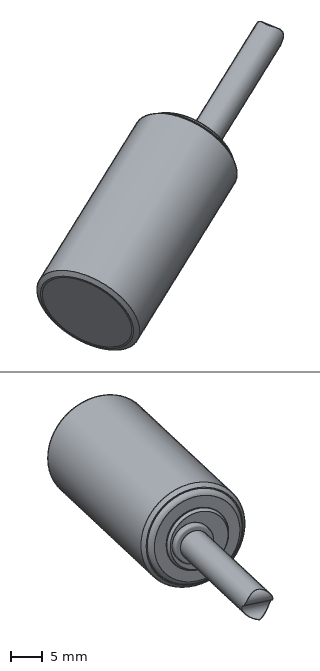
import cadquery as cq

TOTAL_LENGTH = 61.6

HOUSING_RADIUS = 9.0
HOUSING_LENGTH = 35.2
FRONT_BEVEL_LENGTH = 0.45
FRONT_BEVEL_DEPTH = 0.85
REAR_BEVEL = 0.6

FACE_RADIUS = 7.8
FACE_THICKNESS = 1.25

CAP_RADIUS = 8.2
CAP_TOP_RADIUS = 7.4
CAP_HEIGHT = 0.9
CAP_CROWN_RADIUS = 7.95
CAP_CROWN_HEIGHT = 0.55
DISC_RADIUS = 5.35
DISC_HEIGHT = 0.75
DISC_BEVEL_LENGTH = 0.5
DISC_BEVEL_DEPTH = 0.4
COLLAR_RADIUS = 3.4
COLLAR_HEIGHT = 1.2
COLLAR_FILLET = 0.4

CABLE_RADIUS = 2.495
CABLE_OFFSET = 1.3
BREAK_DEPTH = 1.35
BREAK_TOP_DROP = 0.7
BREAK_MIDDLE_DROP = 0.9
BREAK_CREST_Z = 1.4
BREAK_VALLEY_Z = -1.05

DISC_BASE = HOUSING_LENGTH + CAP_HEIGHT
COLLAR_BASE = DISC_BASE + DISC_HEIGHT


def cylinder(radius, start, length, center_x=0):
    """Cylinder along +Y that starts at Y = start."""
    plane = cq.Workplane("XZ", origin=(center_x, start, 0))
    return plane.circle(radius).extrude(-length)


def make_housing():
    """Barrel with beveled ends and a recess for the sensing face."""
    profile = [
        (0, 0),
        (HOUSING_RADIUS - FRONT_BEVEL_DEPTH, 0),
        (HOUSING_RADIUS, FRONT_BEVEL_LENGTH),
        (HOUSING_RADIUS, HOUSING_LENGTH - REAR_BEVEL),
        (HOUSING_RADIUS - REAR_BEVEL, HOUSING_LENGTH),
        (0, HOUSING_LENGTH),
    ]
    barrel = cq.Workplane("XY").polyline(profile).close().revolve(360, (0, 0, 0), (0, 1, 0))
    return barrel.cut(make_sensing_face())


def make_sensing_face():
    """Plain disc that fills the front recess."""
    return cylinder(FACE_RADIUS, 0, FACE_THICKNESS)


def make_cap():
    """Low dome whose bulging side meets the flat top at a visible edge."""
    return (
        cq.Workplane("XY")
        .moveTo(0, HOUSING_LENGTH)
        .lineTo(CAP_RADIUS, HOUSING_LENGTH)
        .threePointArc((CAP_CROWN_RADIUS, HOUSING_LENGTH + CAP_CROWN_HEIGHT), (CAP_TOP_RADIUS, DISC_BASE))
        .lineTo(0, DISC_BASE)
        .close()
        .revolve(360, (0, 0, 0), (0, 1, 0))
    )


def make_disc():
    """Low disc with a beveled rim."""
    profile = [
        (0, DISC_BASE),
        (DISC_RADIUS, DISC_BASE),
        (DISC_RADIUS, COLLAR_BASE - DISC_BEVEL_LENGTH),
        (DISC_RADIUS - DISC_BEVEL_DEPTH, COLLAR_BASE),
        (0, COLLAR_BASE),
    ]
    return cq.Workplane("XY").polyline(profile).close().revolve(360, (0, 0, 0), (0, 1, 0))


def make_rear_plug():
    """Domed cap, disc and rounded collar with a hole that the cable passes through."""
    collar = cylinder(COLLAR_RADIUS, COLLAR_BASE, COLLAR_HEIGHT, CABLE_OFFSET)
    collar = collar.faces(">Y").edges().fillet(COLLAR_FILLET)
    return make_cap().union(make_disc()).union(collar).cut(make_cable())


def make_cable():
    """Round cable, cut at its free end by an S-shaped wave that runs along X."""
    blank = cylinder(CABLE_RADIUS, HOUSING_LENGTH, TOTAL_LENGTH - HOUSING_LENGTH, CABLE_OFFSET)
    keep = (
        cq.Workplane("YZ", origin=(CABLE_OFFSET, 0, 0))
        .moveTo(HOUSING_LENGTH, -CABLE_RADIUS)
        .lineTo(HOUSING_LENGTH, CABLE_RADIUS)
        .lineTo(TOTAL_LENGTH - BREAK_TOP_DROP, CABLE_RADIUS)
        .threePointArc((TOTAL_LENGTH, BREAK_CREST_Z), (TOTAL_LENGTH - BREAK_MIDDLE_DROP, 0))
        .threePointArc((TOTAL_LENGTH - BREAK_DEPTH, BREAK_VALLEY_Z), (TOTAL_LENGTH, -CABLE_RADIUS))
        .close()
        .extrude(CABLE_RADIUS, both=True)
    )
    return blank.intersect(keep)


housing = make_housing()
sensing_face = make_sensing_face()
rear_plug = make_rear_plug()
cable = make_cable()

result = cq.Compound.makeCompound([housing.val(), sensing_face.val(), rear_plug.val(), cable.val()])